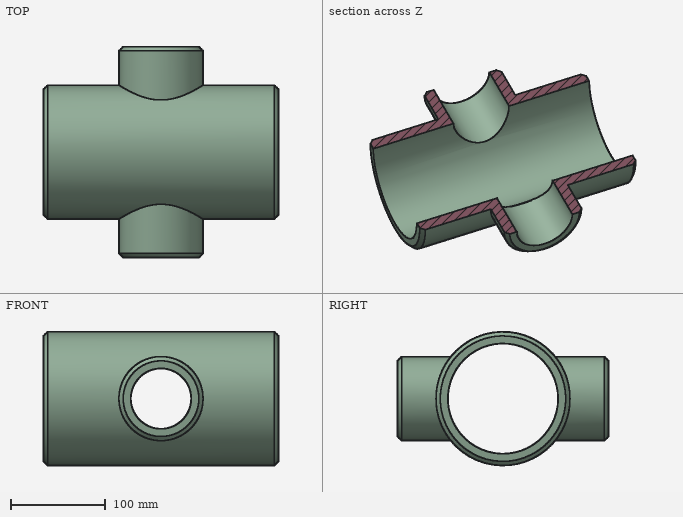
import cadquery as cq

run_length = 248.0
run_diameter = 141.3
run_bore = 116.0

branch_span = 222.5
branch_diameter = 88.7
branch_bore = 63.5

end_bevel = 4.5


def centred_cylinder(plane, diameter, length):
    """Cylinder centred on the origin, along the normal of the plane."""
    return cq.Workplane(plane).circle(diameter / 2).extrude(length / 2, both=True)


def bevelled_bar(plane, diameter, length):
    """Solid bar with both end edges bevelled."""
    bar = centred_cylinder(plane, diameter, length)
    return bar.faces("|Y" if plane == "XZ" else "|X").edges().chamfer(end_bevel)


run = bevelled_bar("YZ", run_diameter, run_length)
branches = bevelled_bar("XZ", branch_diameter, branch_span)
cross = run.union(branches)

result = (
    cross
    .cut(centred_cylinder("YZ", run_bore, run_length))
    .cut(centred_cylinder("XZ", branch_bore, branch_span))
)